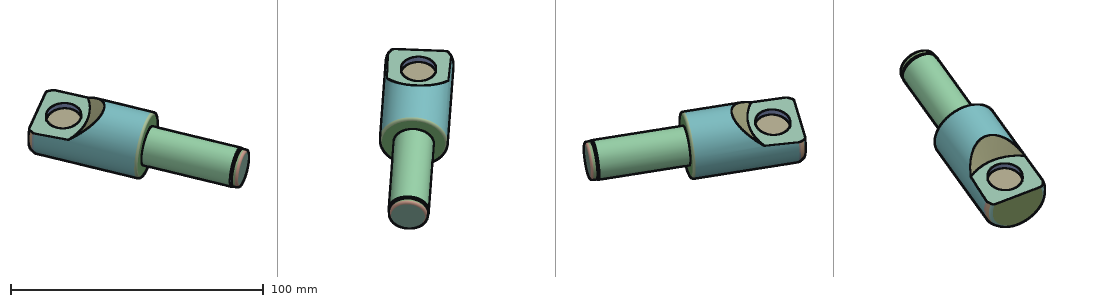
import cadquery as cq
import math

total_length = 86.0
body_diameter = 27.0
body_length = 46.0

nose_bevel_length = 2.6
nose_bevel_angle = 30.0
nose_blend_radius = 1.55

body_rear_fillet = 1.0

shank_diameter = 16.0
tip_diameter = 15.5
tip_taper_start = 82.8
tip_taper_end = 83.6
tip_fillet = 1.0

seat_height_at_nose = 5.0
seat_tilt = 3.0
seat_cone_center = -1.0
seat_cone_radius = 21.8
seat_cone_rise = 21.5

pocket_diameter = 14.0
pocket_center = 10.9
pocket_depth = 2.9


def make_body():
    """Round body with a blended bevel at the nose and a rounded rear edge."""
    radius = body_diameter / 2
    bevel_slope = math.tan(math.radians(nose_bevel_angle))
    profile = (
        cq.Workplane("XY")
        .moveTo(0, 0)
        .lineTo(0, radius - nose_bevel_length * bevel_slope)
        .lineTo(nose_bevel_length, radius)
        .lineTo(body_length, radius)
        .lineTo(body_length, 0)
        .close()
    )
    body = profile.revolve(360, (0, 0, 0), (1, 0, 0))
    nose_edges = cq.selectors.BoxSelector(
        (-nose_bevel_length, -body_diameter, -body_diameter),
        (2 * nose_bevel_length, body_diameter, body_diameter),
    )
    body = body.edges("%CIRCLE").edges(nose_edges).fillet(nose_blend_radius)
    return body.faces(">X").edges().fillet(body_rear_fillet)


def make_shank():
    """Shank that tapers to a slightly smaller tip with a rounded end."""
    shank_radius = shank_diameter / 2
    tip_radius = tip_diameter / 2
    profile = (
        cq.Workplane("XY")
        .moveTo(body_length, 0)
        .lineTo(body_length, shank_radius)
        .lineTo(tip_taper_start, shank_radius)
        .lineTo(tip_taper_end, tip_radius)
        .lineTo(total_length, tip_radius)
        .lineTo(total_length, 0)
        .close()
    )
    shank = profile.revolve(360, (0, 0, 0), (1, 0, 0))
    return shank.faces(">X").edges().fillet(tip_fillet)


def seat_plane(x):
    """Plane on the tilted seat at position x, its normal pointing out of the seat."""
    tilt = math.radians(seat_tilt)
    height = seat_height_at_nose + x * math.tan(tilt)
    return cq.Plane(
        origin=(x, 0, height),
        xDir=(math.cos(tilt), 0, math.sin(tilt)),
        normal=(-math.sin(tilt), 0, math.cos(tilt)),
    )


def make_seat_cut():
    """45 degree cone standing on the seat; it leaves a flat and a conical back wall."""
    cone = cq.Solid.makeCone(seat_cone_radius, seat_cone_radius + seat_cone_rise, seat_cone_rise)
    return cq.Workplane(cone.moved(seat_plane(seat_cone_center).location))


def make_pocket():
    """Round blind pocket, square to the seat."""
    return cq.Workplane(seat_plane(pocket_center)).circle(pocket_diameter / 2).extrude(-pocket_depth)


result = make_body().union(make_shank()).cut(make_seat_cut()).cut(make_pocket())